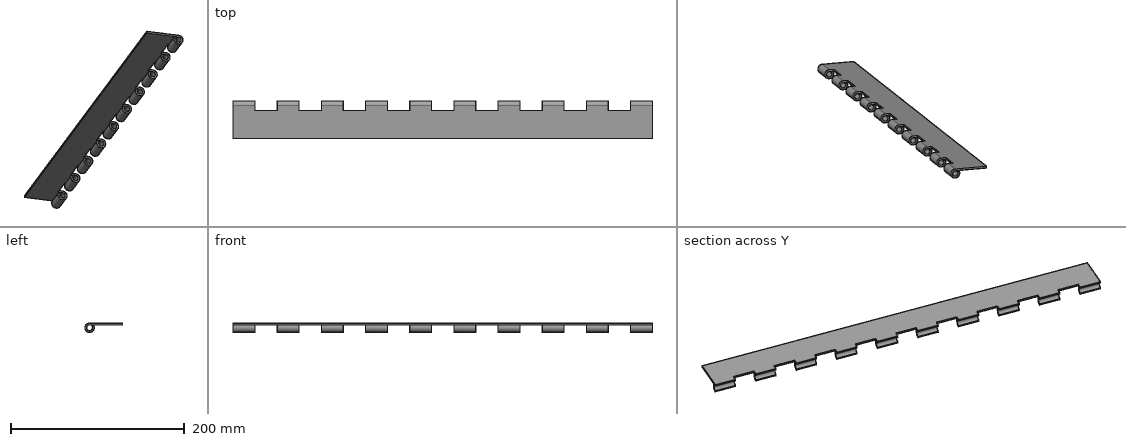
import cadquery as cq
import math

leaf_length = 482.6
leaf_width = 43.56
barrel_diameter = 10.91
sheet_thickness = 2.28
knuckle_count = 10
curl_end_angle = 35.0

barrel_radius = barrel_diameter / 2
bore_radius = barrel_radius - sheet_thickness
leaf_front = barrel_radius - leaf_width
notch_floor = -barrel_radius
knuckle_length = leaf_length / (2 * knuckle_count - 1)
knuckle_pitch = 2 * knuckle_length


def make_leaf():
    """Flat sheet from the front edge to the floor of the gaps, its top tangent to the barrel."""
    return (
        cq.Workplane("XY")
        .box(leaf_length, notch_floor - leaf_front, sheet_thickness, centered=False)
        .translate((0, leaf_front, bore_radius))
    )


def curl_end(radius):
    """Point (Y, Z) on the free end of the curl at the given distance from the pin axis."""
    angle = math.radians(curl_end_angle)
    return (-radius * math.cos(angle), radius * math.sin(angle))


def make_knuckle(start_x):
    """Tongue of sheet running back from the leaf and rolled down and around the pin bore."""
    return (
        cq.Workplane("YZ", origin=(start_x, 0, 0))
        .moveTo(notch_floor, barrel_radius)
        .lineTo(0, barrel_radius)
        .threePointArc((0, -barrel_radius), curl_end(barrel_radius))
        .lineTo(*curl_end(bore_radius))
        .threePointArc((0, -bore_radius), (0, bore_radius))
        .lineTo(notch_floor, bore_radius)
        .close()
        .extrude(knuckle_length)
    )


result = make_leaf()
for index in range(knuckle_count):
    result = result.union(make_knuckle(index * knuckle_pitch))